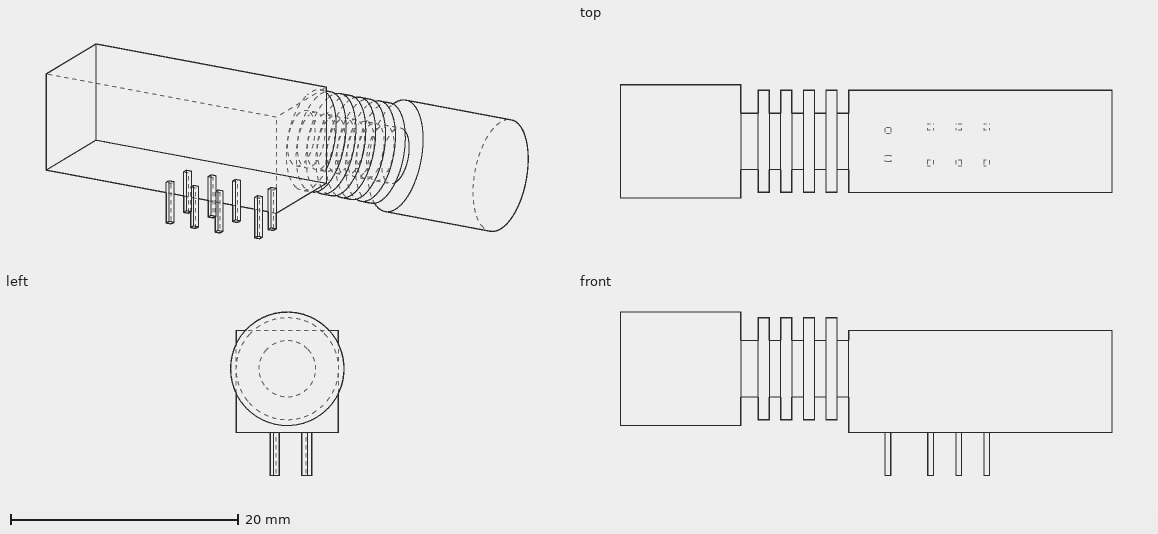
import cadquery as cq

total_length = 43.3

knob_diameter = 10.0
knob_length = 10.6
shaft_diameter = 5.0
ring_diameter = 9.0
ring_width = 1.0
ring_pitch = 2 * ring_width
ring_count = 4
first_ring_x = 12.12

body_start = 20.1
body_length = total_length - body_start
body_side = 9.0
body_top = 3.38
body_bottom = body_top - body_side

total_height = 14.4
pin_bottom = knob_diameter / 2 - total_height
pin_length = body_bottom - pin_bottom
pin_side = 0.5
front_pin_x = 23.55
first_rear_pin_x = 27.32
rear_pin_pitch = 2.45
rear_pin_count = 3
front_pin_y = (0.95, -1.5)
rear_pin_y = (1.25, -1.9)


def cylinder(start_x, length, diameter):
    """Cylinder on the button axis."""
    return cq.Workplane("YZ", origin=(start_x, 0, 0)).circle(diameter / 2).extrude(length)


def make_button():
    button = cylinder(0, knob_length, knob_diameter)
    button = button.union(cylinder(knob_length, body_start - knob_length, shaft_diameter))
    for index in range(ring_count):
        ring_x = first_ring_x + index * ring_pitch
        button = button.union(cylinder(ring_x, ring_width, ring_diameter))
    return button


def make_body():
    return (
        cq.Workplane("XY", origin=(body_start, 0, body_bottom))
        .box(body_length, body_side, body_side, centered=(False, True, False))
    )


def make_pins():
    """One front pair of pins, then three rear pairs set further apart in Y."""
    positions = [(front_pin_x, y) for y in front_pin_y]
    for index in range(rear_pin_count):
        rear_x = first_rear_pin_x + index * rear_pin_pitch
        positions += [(rear_x, y) for y in rear_pin_y]
    return (
        cq.Workplane("XY", origin=(0, 0, pin_bottom))
        .pushPoints(positions)
        .rect(pin_side, pin_side)
        .extrude(pin_length)
    )


result = make_body().union(make_button()).union(make_pins())